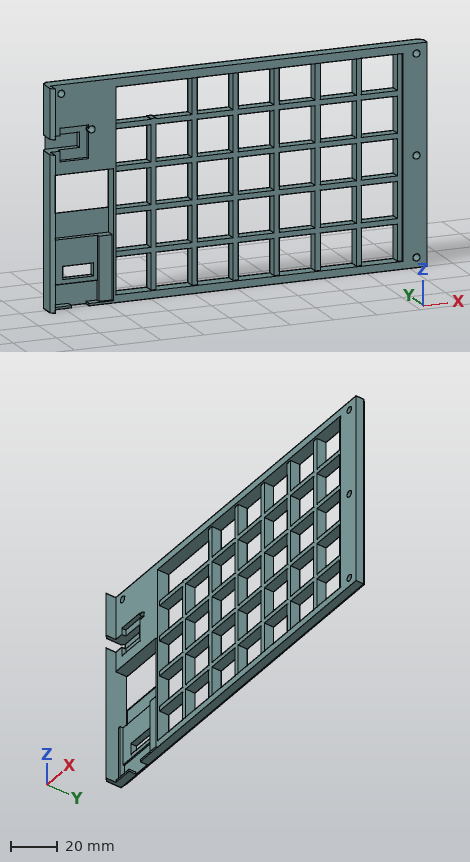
import cadquery as cq

length = 176.0
height = 100.0
total_depth = 11.3
body_depth = 6.0
wall_thickness = 1.8
edge_chamfer = 2.0

columns = 7
rows = 5
pitch = 19.0
bar_width = 2.5
cell = pitch - bar_width
grid_left = 32.0
grid_bottom = 3.5
grid_top = grid_bottom + rows * pitch - bar_width
grid_recess = 1.0
recess_right = 164.7
wide_key_stub = 0.4

hole_diameter = 3.2
hole_inset = 4.5
left_hole_z = 96.0
right_hole_x = 171.0
left_hole_x = 6.7
plug_hole_x = 20.8
plug_hole_z = 78.5

back_skin = 0.7
plug_left = 6.2
plug_right = 19.4
plug_bottom = 65.6
plug_top = 80.6
plug_depth = 2.1
channel_right = 16.0
channel_bottom = 70.4
channel_top = 77.3

bay_skin = 0.4
bay_right = 30.8
bay_bottom = 1.0
bay_top = 59.8
window_bottom = 41.2
block_top = 30.1
block_depth = 1.4
pocket_left = 3.0
pocket_right = 24.6
pocket_depth = 3.0
step_top = 10.0
step_depth = 3.7
slot_left = 8.6
slot_right = 22.9
slot_bottom = 12.1
slot_top = 18.0
lip_gap_left = 11.5
lip_gap_right = 19.5


def box(x0, x1, z0, z1, front, back):
    """Box between two x, two z and two depths measured back from the body's front face."""
    return cq.Workplane("XY").box(x1 - x0, back - front, z1 - z0, centered=False).translate(
        (x0, front - body_depth, z0)
    )


def make_body():
    """Plate with a raised left wall, its side and lower back edges chamfered."""
    profile = [
        (edge_chamfer, 0),
        (length - edge_chamfer, 0),
        (length, -edge_chamfer),
        (length, -body_depth),
        (wall_thickness, -body_depth),
        (wall_thickness, -total_depth),
        (0, wall_thickness - total_depth),
        (0, -edge_chamfer),
    ]
    body = cq.Workplane("XY").polyline(profile).close().extrude(height)
    return body.faces(">Y").edges("<Z").chamfer(edge_chamfer)


def cut_grid(body):
    """Recess the grid bars and open the key cells; the top left key is two cells wide."""
    body = body.cut(box(grid_left, recess_right, grid_bottom, grid_top, 0, grid_recess))
    for row in range(rows):
        z = grid_bottom + row * pitch
        for column in range(columns):
            x = grid_left + column * pitch
            body = body.cut(box(x, x + cell, z, z + cell, 0, body_depth))
    top_row_bottom = grid_top - cell
    first_bar = grid_left + cell
    stub_top = top_row_bottom + wide_key_stub
    return body.cut(box(first_bar, first_bar + bar_width, stub_top, grid_top, 0, body_depth))


def cut_plug_recess(body):
    """Shallow recess crossed by a deep channel that opens through the left wall."""
    body = body.cut(box(plug_left, plug_right, plug_bottom, plug_top, 0, plug_depth))
    wall_tip = body_depth - total_depth
    return body.cut(box(0, channel_right, channel_bottom, channel_top, wall_tip, body_depth - back_skin))


def cut_module_bay(body):
    """Bay with a window at the top and a block with a stepped pocket at the bottom."""
    floor = body_depth - bay_skin
    body = body.cut(box(wall_thickness, bay_right, window_bottom, bay_top, 0, body_depth))
    body = body.cut(box(wall_thickness, bay_right, block_top, window_bottom, 0, floor))
    body = body.cut(box(wall_thickness, bay_right, bay_bottom, block_top, 0, block_depth))
    body = body.cut(box(pocket_left, pocket_right, bay_bottom, block_top, 0, pocket_depth))
    body = body.cut(box(pocket_left, pocket_right, bay_bottom, step_top, 0, step_depth))
    body = body.cut(box(slot_left, slot_right, slot_bottom, slot_top, 0, body_depth))
    return body.cut(box(lip_gap_left, lip_gap_right, 0, bay_bottom, 0, step_depth))


def cut_holes(body):
    """Screw holes through the plate."""
    centers = [
        (right_hole_x, hole_inset),
        (right_hole_x, height / 2),
        (right_hole_x, height - hole_inset),
        (left_hole_x, left_hole_z),
        (plug_hole_x, plug_hole_z),
    ]
    holes = cq.Workplane("XZ").pushPoints(centers).circle(hole_diameter / 2).extrude(body_depth)
    return body.cut(holes)


part = make_body()
part = cut_grid(part)
part = cut_plug_recess(part)
part = cut_module_bay(part)
result = cut_holes(part)